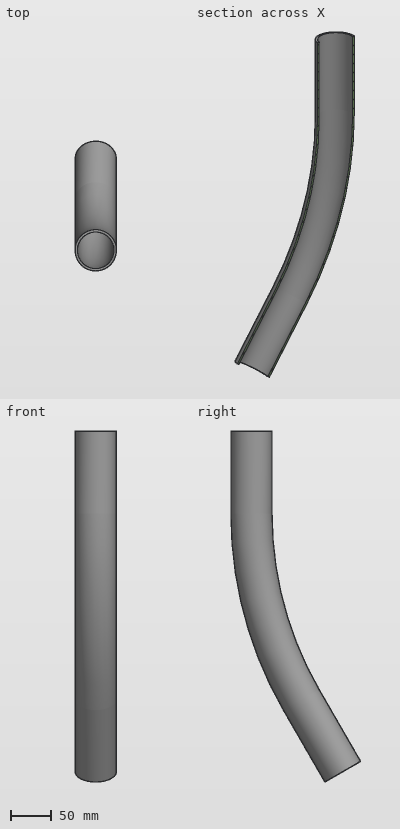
import cadquery as cq
import math

overall_height = 431.0
outer_diameter = 51.0
inner_diameter = 45.0
straight_length = 101.5
bend_angle = 30.0

angle = math.radians(bend_angle)
outer_radius = outer_diameter / 2
straight_height = straight_length * (1 + math.cos(angle))
rim_drop = outer_radius * math.sin(angle)
bend_radius = (overall_height - straight_height - rim_drop) / math.sin(angle)


def bend_point(turn):
    """Centreline point (Y, Z) after turning by the given angle from the upper leg."""
    return (
        bend_radius * (1 - math.cos(turn)),
        -straight_length - bend_radius * math.sin(turn),
    )


bend_end_y, bend_end_z = bend_point(angle)
lower_end = (
    bend_end_y + straight_length * math.sin(angle),
    bend_end_z - straight_length * math.cos(angle),
)
centreline = (
    cq.Workplane("YZ")
    .lineTo(0, -straight_length)
    .threePointArc(bend_point(angle / 2), (bend_end_y, bend_end_z))
    .lineTo(*lower_end)
)

result = (
    cq.Workplane("XY")
    .circle(outer_radius)
    .circle(inner_diameter / 2)
    .sweep(centreline)
)